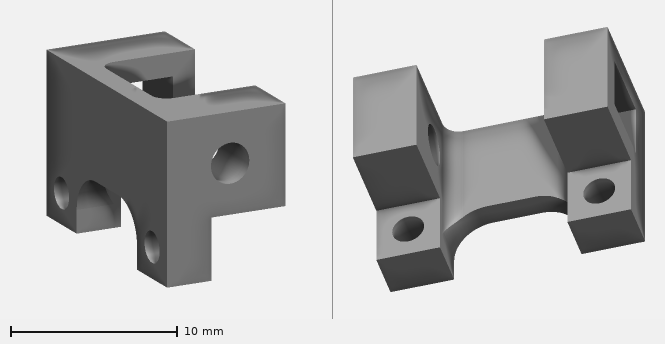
import cadquery as cq

length = 16.0
depth = 8.0
height = 10.5

opening_width = length / 2
front_wall = 1.5
slot_radius = 1.0
arm_width = (length - opening_width) / 2

flange_height = 4.0
flange_thickness = 3.0
arch_radius = 2.5

mount_diameter = 2.0
mount_height = flange_height / 2
mount_x = (length - arm_width) / 2

window_depth = 4.5
window_height = 3.5
bore_diameter = 2.6
axis_y = 4.25
axis_z = (flange_height + height) / 2


def box(x_size, y_size, z_size, x, y, z):
    """Box centred on x, with its lower Y and Z faces at y and z."""
    solid = cq.Workplane("XY").box(x_size, y_size, z_size, centered=(True, False, False))
    return solid.translate((x, y, z))


def body():
    upper_block = box(length, depth, height - flange_height, 0, 0, flange_height)
    flange = box(length, flange_thickness, flange_height, 0, 0, 0)
    return upper_block.union(flange)


def rear_slot():
    """Opening between the arms, rounded where it meets the front wall."""
    slot = box(opening_width, depth - front_wall, height, 0, front_wall, 0)
    return slot.edges("|Z and <Y").fillet(slot_radius)


def flange_arch():
    arch = box(opening_width, depth, flange_height, 0, 0, 0)
    return arch.edges("|Y and >Z").fillet(arch_radius)


def mounting_holes():
    centers = [(-mount_x, mount_height), (mount_x, mount_height)]
    holes = cq.Workplane("XZ").pushPoints(centers).circle(mount_diameter / 2)
    return holes.extrude(-flange_thickness)


def arm_window():
    profile = cq.Workplane("YZ", origin=(-length / 2, axis_y, axis_z))
    return profile.rect(window_depth, window_height).extrude(arm_width)


def arm_bore():
    profile = cq.Workplane("YZ", origin=(opening_width / 2, axis_y, axis_z))
    return profile.circle(bore_diameter / 2).extrude(arm_width)


result = (
    body()
    .cut(rear_slot())
    .cut(flange_arch())
    .cut(mounting_holes())
    .cut(arm_window())
    .cut(arm_bore())
)